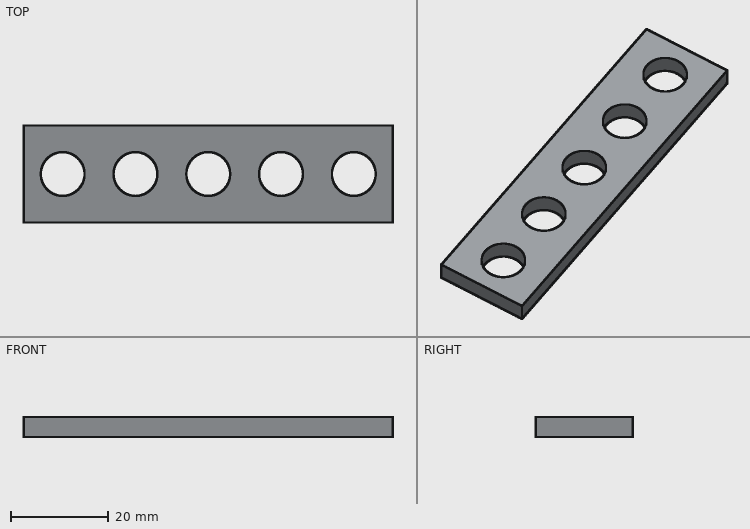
import cadquery as cq

length = 76.0
width = 20.0
thickness = 4.2

hole_count = 5
hole_diameter = 9.0
hole_pitch = 15.0

plate = cq.Workplane("XY").box(length, width, thickness)

result = (
    plate.faces(">Z")
    .workplane()
    .rarray(hole_pitch, width, hole_count, 1)
    .hole(hole_diameter)
)